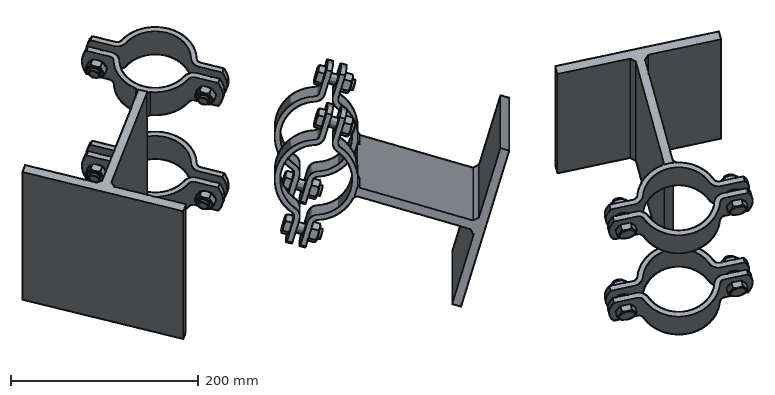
import cadquery as cq
import math

height = 220.0
depth = 232.85

plate_width = 180.0
plate_thickness = 10.0
web_thickness = 10.0
plate_weld = 5.0

band_height = 40.0
band_thickness = 6.0
ring_outer_radius = 88.9 / 2
ear_gap = 9.0
ear_reach = 79.0
ear_tip_radius = 40.0
bend_radius = 6.0
clamp_weld = 3.0

bolt_offset = 61.0
bolt_diameter = 12.0
bolt_end_diameter = 11.05
bolt_hole_diameter = 14.0
bolt_protrusion = 3.5
head_height = 8.0
nut_height = 10.0
hex_sides = 6
hex_across_flats = 19.0
hex_face_diameter = 17.2
hex_chamfer_angle = 30.0

half_web = web_thickness / 2
ring_inner_radius = ring_outer_radius - band_thickness
ear_inner_y = ear_gap / 2
ear_outer_y = ear_inner_y + band_thickness
bolt_height = band_height / 2
bolt_positions = (-bolt_offset, bolt_offset)
clamp_bottoms = (0.0, height - band_height)


def polar(radius, angle, centre=(0, 0)):
    return (centre[0] + radius * math.cos(angle), centre[1] + radius * math.sin(angle))


def mirror_x(point):
    return (-point[0], point[1])


def ring_surface_y(x):
    """Y of the ring's outer surface at X, on the web side."""
    return -math.sqrt(ring_outer_radius**2 - x**2)


def make_base():
    """Plate and web with the fillet welds between them, extruded over the full height."""
    plate_front_y = ring_outer_radius - depth
    plate_back_y = plate_front_y + plate_thickness
    right_side = [
        (plate_width / 2, plate_front_y),
        (plate_width / 2, plate_back_y),
        (half_web + plate_weld, plate_back_y),
        (half_web, plate_back_y + plate_weld),
        (half_web, -ring_outer_radius),
    ]
    left_side = [mirror_x(point) for point in reversed(right_side)]
    return cq.Workplane("XY").polyline(right_side + left_side).close().extrude(height)


def make_band_strip():
    """Half ring on the +Y side with a bent, square-ended ear on each side."""
    bend_y = ear_outer_y + bend_radius
    bend_angle = math.asin(bend_y / (ring_outer_radius + bend_radius))
    bend_centre = (bend_y / math.tan(bend_angle), bend_y)
    bend_x = bend_centre[0]

    bend_start = 1.5 * math.pi
    bend_end = math.pi + bend_angle
    bend_middle = (bend_start + bend_end) / 2

    outer_bend = polar(bend_radius, bend_middle, bend_centre)
    inner_bend = polar(bend_radius + band_thickness, bend_middle, bend_centre)
    outer_end = polar(ring_outer_radius, bend_angle)
    inner_end = polar(ring_inner_radius, bend_angle)

    return (
        cq.Workplane("XY")
        .moveTo(-ear_reach, ear_outer_y)
        .lineTo(-bend_x, ear_outer_y)
        .threePointArc(mirror_x(outer_bend), mirror_x(outer_end))
        .threePointArc((0, ring_outer_radius), outer_end)
        .threePointArc(outer_bend, (bend_x, ear_outer_y))
        .lineTo(ear_reach, ear_outer_y)
        .lineTo(ear_reach, ear_inner_y)
        .lineTo(bend_x, ear_inner_y)
        .threePointArc(inner_bend, inner_end)
        .threePointArc((0, ring_inner_radius), mirror_x(inner_end))
        .threePointArc(mirror_x(inner_bend), (-bend_x, ear_inner_y))
        .lineTo(-ear_reach, ear_inner_y)
        .close()
        .extrude(band_height)
    )


def make_band_envelope():
    """Block along +Y with bulged ends, which gives the ears their arched tips."""
    tip_bulge = ear_tip_radius - math.sqrt(ear_tip_radius**2 - (band_height / 2) ** 2)
    shoulder_x = ear_reach - tip_bulge
    return (
        cq.Workplane("XZ")
        .moveTo(-shoulder_x, 0)
        .lineTo(shoulder_x, 0)
        .threePointArc((ear_reach, band_height / 2), (shoulder_x, band_height))
        .lineTo(-shoulder_x, band_height)
        .threePointArc((-ear_reach, band_height / 2), (-shoulder_x, 0))
        .close()
        .extrude(-ring_outer_radius)
    )


def make_half_band():
    """Half band on the +Y side, with arched ear tips and bolt clearance holes."""
    bolt_holes = (
        cq.Workplane("XZ")
        .pushPoints([(x, bolt_height) for x in bolt_positions])
        .circle(bolt_hole_diameter / 2)
        .extrude(-ear_outer_y)
    )
    return make_band_strip().intersect(make_band_envelope()).cut(bolt_holes)


def make_hex(length):
    """Hexagon from Y = 0 to Y = length, corners on X, its far face chamfered to a circle."""
    across_corners = hex_across_flats / math.cos(math.pi / hex_sides)
    corner_radius = across_corners / 2
    face_radius = hex_face_diameter / 2
    chamfer_drop = (corner_radius - face_radius) * math.tan(math.radians(hex_chamfer_angle))
    chamfer_profile = [
        (0, 0),
        (corner_radius, 0),
        (corner_radius, length - chamfer_drop),
        (face_radius, length),
        (0, length),
    ]
    envelope = cq.Workplane("XY").polyline(chamfer_profile).close().revolve(360, (0, 0), (0, 1))
    return cq.Workplane("XZ").polygon(hex_sides, across_corners).extrude(-length).intersect(envelope)


def make_nut():
    """Nut from Y = 0 to Y = nut_height, chamfered on both faces."""
    half_nut = make_hex(nut_height / 2).translate((0, nut_height / 2, 0))
    return half_nut.union(half_nut.mirror("XZ", (0, nut_height / 2, 0)))


def make_bolt():
    """Bolt along Y with its head on the +Y ear and its nut on the -Y ear."""
    shank_length = 2 * ear_outer_y + nut_height + bolt_protrusion
    shank = (
        cq.Workplane("XZ", origin=(0, ear_outer_y, 0))
        .circle(bolt_diameter / 2)
        .extrude(shank_length)
        .faces("<Y")
        .chamfer((bolt_diameter - bolt_end_diameter) / 2)
    )
    head = make_hex(head_height).translate((0, ear_outer_y, 0))
    nut = make_nut().translate((0, -ear_outer_y - nut_height, 0))
    return shank.union(head).union(nut)


def make_clamp_welds():
    """Fillet welds on both sides of the web; the flat web end itself only touches the ring."""
    weld_end_x = half_web + clamp_weld
    root_y = ring_surface_y(half_web)
    right_corners = [
        (half_web, root_y - clamp_weld),
        (weld_end_x, ring_surface_y(weld_end_x)),
        (half_web, root_y),
    ]
    right_weld = cq.Workplane("XY").polyline(right_corners).close().extrude(band_height)
    return right_weld.union(right_weld.mirror("YZ"))


def make_clamp():
    """Two bolted half bands with their welds to the web, standing on Z = 0."""
    half_band = make_half_band()
    clamp = half_band.union(half_band.mirror("XZ")).union(make_clamp_welds())
    for x in bolt_positions:
        clamp = clamp.union(make_bolt().translate((x, 0, bolt_height)))
    return clamp


result = make_base()
for bottom in clamp_bottoms:
    result = result.union(make_clamp().translate((0, 0, bottom)))